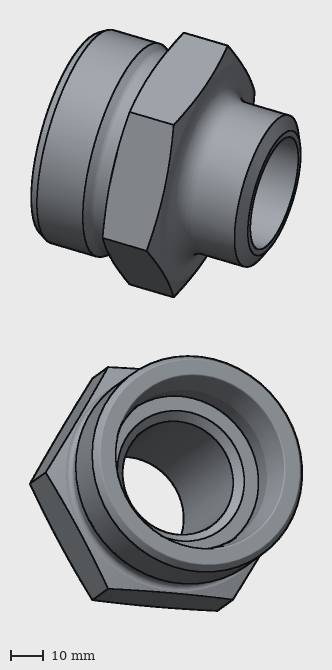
import cadquery as cq
import math

LENGTH = 67.0
HEX_ACROSS_CORNERS = 80.8

COLLAR_RADIUS = 68.0 / 2
COLLAR_CHAMFER_LENGTH = 2.75
COLLAR_END = 18.1
GROOVE_RADIUS = 64.9 / 2
GROOVE_FILLET = 1.6
FLANK_ANGLE = math.radians(30)
RIM_ROUND = 0.5

HEX_START = 26.0
HEX_END = 44.0
HEX_CHAMFER_ANGLE = math.radians(15)
HEX_FACE_RADIUS = 34.4

SPIGOT_RADIUS = 48.3 / 2
SPIGOT_FILLET = 6.15
BEVEL_LENGTH = 2.5
BEVEL_ANGLE = math.radians(60)

MOUTH_RADIUS = 27.3
MOUTH_ANGLE = math.radians(12)
SOCKET_RADIUS = 50.3 / 2
SOCKET_DEPTH = 18.1
COUNTERSINK_RADIUS = 20.5
COUNTERSINK_ANGLE = math.radians(45)
BORE_RADIUS = 35.7 / 2

PICK_MARGIN = 0.1


def revolve_about_x(profile):
    """Turn a closed profile drawn as (axial position, radius) about the X axis."""
    return profile.close().revolve(360, (0, 0, 0), (1, 0, 0))


def make_collar():
    rim_radius = COLLAR_RADIUS - COLLAR_CHAMFER_LENGTH * math.tan(FLANK_ANGLE)
    groove_start = COLLAR_END + (COLLAR_RADIUS - GROOVE_RADIUS) / math.tan(FLANK_ANGLE)
    collar = revolve_about_x(
        cq.Workplane("XY")
        .moveTo(0, 0)
        .lineTo(0, rim_radius)
        .lineTo(COLLAR_CHAMFER_LENGTH, COLLAR_RADIUS)
        .lineTo(COLLAR_END, COLLAR_RADIUS)
        .lineTo(groove_start, GROOVE_RADIUS)
        .lineTo(HEX_START - GROOVE_FILLET, GROOVE_RADIUS)
        .radiusArc((HEX_START, GROOVE_RADIUS + GROOVE_FILLET), -GROOVE_FILLET)
        .lineTo(HEX_START, 0)
    )
    groove_corner = cq.selectors.BoxSelector(
        (groove_start - PICK_MARGIN, -COLLAR_RADIUS, -COLLAR_RADIUS),
        (groove_start + PICK_MARGIN, COLLAR_RADIUS, COLLAR_RADIUS),
        boundingbox=True,
    )
    collar = collar.edges(groove_corner).edges("%CIRCLE").fillet(GROOVE_FILLET)
    return collar.faces("<X").edges().fillet(RIM_ROUND)


def make_hexagon():
    corner_radius = HEX_ACROSS_CORNERS / 2
    chamfer_length = (corner_radius - HEX_FACE_RADIUS) * math.tan(HEX_CHAMFER_ANGLE)
    prism = (
        cq.Workplane("YZ", origin=(HEX_START, 0, 0))
        .polygon(6, HEX_ACROSS_CORNERS)
        .extrude(HEX_END - HEX_START)
    )
    chamfered_envelope = revolve_about_x(
        cq.Workplane("XY")
        .moveTo(HEX_START, 0)
        .lineTo(HEX_START, HEX_FACE_RADIUS)
        .lineTo(HEX_START + chamfer_length, corner_radius)
        .lineTo(HEX_END - chamfer_length, corner_radius)
        .lineTo(HEX_END, HEX_FACE_RADIUS)
        .lineTo(HEX_END, 0)
    )
    return prism.intersect(chamfered_envelope)


def make_spigot():
    tip_radius = SPIGOT_RADIUS - BEVEL_LENGTH * math.tan(BEVEL_ANGLE)
    return revolve_about_x(
        cq.Workplane("XY")
        .moveTo(HEX_END, 0)
        .lineTo(HEX_END, SPIGOT_RADIUS + SPIGOT_FILLET)
        .radiusArc((HEX_END + SPIGOT_FILLET, SPIGOT_RADIUS), -SPIGOT_FILLET)
        .lineTo(LENGTH - BEVEL_LENGTH, SPIGOT_RADIUS)
        .lineTo(LENGTH, tip_radius)
        .lineTo(LENGTH, 0)
    )


def make_cavity():
    mouth_depth = (MOUTH_RADIUS - SOCKET_RADIUS) / math.tan(MOUTH_ANGLE)
    countersink_depth = (COUNTERSINK_RADIUS - BORE_RADIUS) / math.tan(COUNTERSINK_ANGLE)
    return revolve_about_x(
        cq.Workplane("XY")
        .moveTo(0, 0)
        .lineTo(0, MOUTH_RADIUS)
        .lineTo(mouth_depth, SOCKET_RADIUS)
        .lineTo(SOCKET_DEPTH, SOCKET_RADIUS)
        .lineTo(SOCKET_DEPTH, COUNTERSINK_RADIUS)
        .lineTo(SOCKET_DEPTH + countersink_depth, BORE_RADIUS)
        .lineTo(LENGTH, BORE_RADIUS)
        .lineTo(LENGTH, 0)
    )


def round_mouth(body):
    """Round the inner edge of the socket face."""
    return body.faces("<X").edges(cq.selectors.RadiusNthSelector(0)).fillet(RIM_ROUND)


body = make_collar().union(make_hexagon()).union(make_spigot()).cut(make_cavity())
result = round_mouth(body)